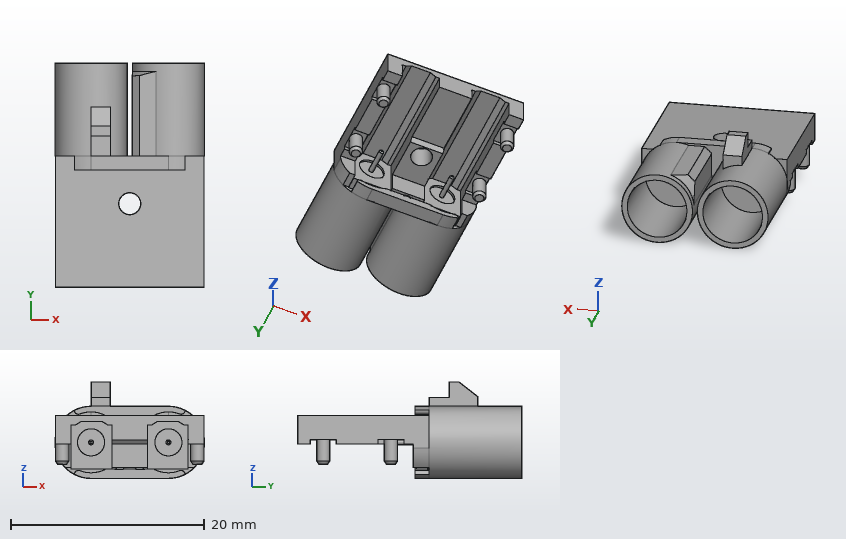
import cadquery as cq

LENGTH = 23.2
WIDTH = 15.5
HEIGHT = 10.0

sleeve_d = 7.5
sleeve_r = sleeve_d / 2
bore_d = 6.3
sleeve_x = WIDTH / 2 - sleeve_r
sleeve_start = 13.62
floor_thickness = 0.58

plate_half_width = 7.7
plate_top = 2.78
leg_bottom = -0.19
wall_start = 11.95
wall_bottom = -2.62
plate_hole_d = 2.25
plate_hole_y = 8.65

channel_width = 4.22
channel_shoulder_width = 3.39
channel_crown_width = 2.13
channel_shoulder_z = 1.79
channel_crown_z = 2.18
channel_x = 3.95
block_start = 12.3
block_bottom = -2.74

rib_shallow_z = 0.23
ramp_start = 6.95
ramp_size = rib_shallow_z - leg_bottom

contact_recess_d = 2.8
contact_recess_depth = 0.23
contact_pin_d = 0.5
contact_pin_end = 9.75
contact_pin_chamfer = 0.15

lip_start = 12.13
lip_half_width = 5.73
lip_inner_z = 2.78
lip_fillet = 0.42
lip_post_d = 1.3

peg_d = 1.4
peg_tip_z = -2.27
peg_chamfer = 0.23
peg_chamfer_height = 0.35
peg_x = 7.0
peg_positions_y = (2.65, 9.65)
relief_length = 2.7
relief_top = 0.28

latch_width = 2.0
latch_top = HEIGHT - sleeve_r
latch_step_z = 4.66
latch_nose_z = 4.73
latch_step_y = 15.68
latch_crest_y = 16.7
latch_nose_y = 18.65

key_top = 3.53
key_bevel_x = 1.02
key_left_x = 0.28
key_bevel_z = 2.83
key_end = 22.35
key_end_slope = 0.5


def box(x0, x1, y0, y1, z0, z1):
    return cq.Workplane("XY").box(x1 - x0, y1 - y0, z1 - z0, centered=False).translate((x0, y0, z0))


def section(y):
    """Sketch plane across the sleeves at position y, with local axes X and Z; extrude(-d) goes towards +Y."""
    return cq.Workplane("XZ", origin=(0, y, 0))


def rod(x, diameter, y0, y1):
    return section(y0).center(x, 0).circle(diameter / 2).extrude(y0 - y1)


def post(x, y, diameter, z0, z1):
    return cq.Workplane("XY", origin=(x, y, z0)).circle(diameter / 2).extrude(z1 - z0)


def obround(y0, y1):
    return section(y0).slot2D(2 * sleeve_x + sleeve_d, sleeve_d).extrude(y0 - y1)


def make_channel(x):
    outline = [
        (-channel_width / 2, block_bottom),
        (-channel_width / 2, channel_shoulder_z),
        (-channel_shoulder_width / 2, channel_shoulder_z),
        (-channel_crown_width / 2, channel_crown_z),
        (channel_crown_width / 2, channel_crown_z),
        (channel_shoulder_width / 2, channel_shoulder_z),
        (channel_width / 2, channel_shoulder_z),
        (channel_width / 2, block_bottom),
    ]
    return section(0).center(x, 0).polyline(outline).close().extrude(-block_start)


def make_base():
    w = plate_half_width
    plate = box(-w, w, 0, sleeve_start, leg_bottom, plate_top)
    wall = obround(wall_start, sleeve_start).intersect(
        box(-w, w, wall_start, sleeve_start, wall_bottom, plate_top)
    )
    base = plate.union(wall)
    for x in (-channel_x, channel_x):
        half = channel_width / 2
        base = base.union(box(x - half, x + half, block_start, sleeve_start, block_bottom, 0))
        base = base.cut(make_channel(x))

    rib_half_width = channel_x - channel_width / 2
    rib_relief = [
        (0, leg_bottom),
        (0, rib_shallow_z),
        (ramp_start, rib_shallow_z),
        (ramp_start + ramp_size, leg_bottom),
    ]
    base = base.cut(cq.Workplane("YZ").polyline(rib_relief).close().extrude(rib_half_width, both=True))
    return base.cut(post(0, plate_hole_y, plate_hole_d, leg_bottom, plate_top))


def make_lips():
    lips = obround(lip_start, sleeve_start).intersect(
        box(-lip_half_width, lip_half_width, lip_start, sleeve_start, -sleeve_r, sleeve_r)
    )
    lips = lips.cut(box(-sleeve_x, sleeve_x, lip_start, sleeve_start, -lip_inner_z, lip_inner_z))
    for x in (-sleeve_x, sleeve_x):
        lips = lips.cut(rod(x, bore_d, lip_start, sleeve_start))
    inner_corners = cq.selectors.BoxSelector(
        (-plate_half_width, lip_start, -lip_inner_z),
        (plate_half_width, sleeve_start, lip_inner_z),
    )
    lips = lips.faces("<X or >X").edges("|Y").edges(inner_corners).fillet(lip_fillet)
    lip_post_y = (wall_start + sleeve_start) / 2
    return lips.union(post(0, lip_post_y, lip_post_d, -lip_inner_z, wall_bottom))


def make_latch():
    outline = [
        (sleeve_start, 0),
        (sleeve_start, latch_step_z),
        (latch_step_y, latch_step_z),
        (latch_step_y, latch_top),
        (latch_crest_y, latch_top),
        (latch_nose_y, latch_nose_z),
        (latch_nose_y, 0),
    ]
    return cq.Workplane("YZ", origin=(-sleeve_x, 0, 0)).polyline(outline).close().extrude(latch_width)


def make_key():
    outline = [
        (sleeve_x, 0),
        (sleeve_x, key_top),
        (key_bevel_x, key_top),
        (key_left_x, key_bevel_z),
        (key_left_x, 0),
    ]
    key = section(sleeve_start).polyline(outline).close().extrude(sleeve_start - LENGTH)
    outer_r = 2 * sleeve_r
    cone = [
        (0, sleeve_start),
        (0, key_end + key_end_slope * sleeve_r),
        (outer_r, key_end - key_end_slope * (outer_r - sleeve_r)),
        (outer_r, sleeve_start),
    ]
    envelope = cq.Workplane("XY").polyline(cone).close().revolve(360, (0, 0), (0, 1))
    return key.intersect(envelope.translate((sleeve_x, 0, 0)))


def make_reliefs(y):
    leg_inner_x = channel_x + channel_width / 2
    half = relief_length / 2
    relief = box(leg_inner_x, plate_half_width, y - half, y + half, leg_bottom, relief_top)
    return relief.union(relief.mirror("YZ"))


def make_peg(x, y):
    peg = post(x, y, peg_d, peg_tip_z, relief_top)
    return peg.faces("<Z").chamfer(peg_chamfer_height, peg_chamfer)


result = make_base().union(make_lips())
for side in (-1, 1):
    result = result.union(rod(side * sleeve_x, sleeve_d, sleeve_start, LENGTH))
result = result.union(make_latch()).union(make_key())

for side in (-1, 1):
    x = side * sleeve_x
    recess_end = block_start + contact_recess_depth
    result = result.cut(rod(x, bore_d, sleeve_start + floor_thickness, LENGTH))
    result = result.cut(rod(x, contact_recess_d, block_start, recess_end))
    contact = rod(x, contact_pin_d, contact_pin_end, sleeve_start)
    result = result.union(contact.faces("<Y").chamfer(contact_pin_chamfer))

for peg_y in peg_positions_y:
    result = result.cut(make_reliefs(peg_y))
    for side in (-1, 1):
        result = result.union(make_peg(side * peg_x, peg_y))